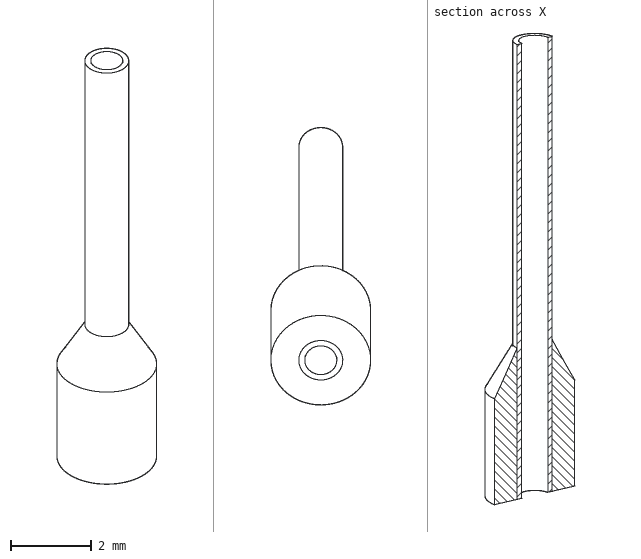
import cadquery as cq

tube_length = 12.0
tube_outer_diameter = 1.1
tube_bore_diameter = 0.8
collar_diameter = 2.5
collar_height = 4.0
taper_height = 1.2
skirt_height = collar_height - taper_height


def make_tube():
    """Metal tube, open at both ends, running the full length of the ferrule."""
    return (
        cq.Workplane("XY")
        .circle(tube_outer_diameter / 2)
        .circle(tube_bore_diameter / 2)
        .extrude(tube_length)
    )


def make_collar():
    """Insulating collar: straight skirt and a taper that meets the tube wall at the top."""
    inner_radius = tube_outer_diameter / 2
    outer_radius = collar_diameter / 2
    half_section = (
        cq.Workplane("XZ")
        .moveTo(inner_radius, 0)
        .lineTo(outer_radius, 0)
        .lineTo(outer_radius, skirt_height)
        .lineTo(inner_radius, collar_height)
        .close()
    )
    return half_section.revolve(360, (0, 0, 0), (0, 1, 0))


tube = make_tube()
collar = make_collar()

result = cq.Compound.makeCompound([tube.val(), collar.val()])